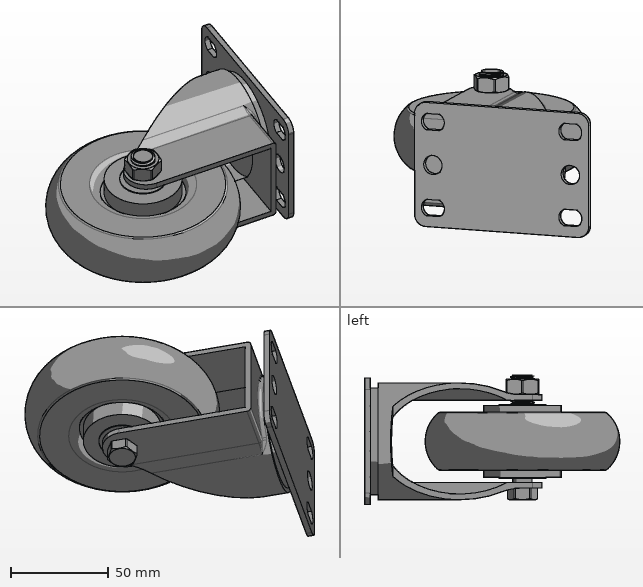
import cadquery as cq
import math


plate_length = 95.0
plate_width = 65.0
plate_thickness = 3.0
plate_corner_radius = 6.0
plate_top = 81.0
plate_bottom = plate_top - plate_thickness
swivel_x = -35.0

hole_spacing_x = 75.0
round_hole_diameter = 10.0
slot_spacing_z = 45.0
slot_length = 12.5
slot_width = 8.6
slot_end_bulge = 2.8

neck_radius = 27.5
neck_height = 4.0

fork_thickness = 3.0
crown_radius = 30.0
crown_top = plate_bottom - neck_height
web_top = crown_top - fork_thickness
arm_outer_z = 24.0
arm_inner_z = arm_outer_z - fork_thickness
arm_flat_start_x = -13.0
arm_end_x = 12.0
fork_round = 2.0
tip_radius = 11.5
tip_center = (arm_end_x - tip_radius, 1.4)
skirt_front_y = 67.7
skirt_corner = (-59.0, 66.5)

wheel_radius = 50.0
wheel_half_width = 15.0
tread_edge_radius = 43.4
face_radius = 42.4
shoulder_drop = 0.5
groove_outer_radius = 27.5
groove_round = 5.5
hub_radius = 20.0
hub_half_width = 18.5
spacer_radius = 12.0
spacer_half_width = 19.0

shank_radius = 5.0
head_across_flats = 13.9
head_height = 6.0
thread_radius = 6.2
thread_pitch = 1.75
thread_clearance = 0.05
thread_end_gap = 0.4
thread_root_overlap = 0.3
thread_root_width = 1.5
thread_crest_width = 0.2
thread_start_angle = 90.0
bolt_end_z = 34.0
threaded_bore_radius = thread_radius + thread_clearance
nut_across_flats = 16.7
nut_height = 8.0
hex_chamfer_angle = 30.0
hex_face_share = 0.97
hex_corner_chamfer = 0.45


def make_mounting_plate():
    plate = (
        cq.Workplane("XZ", origin=(swivel_x, plate_top, 0))
        .rect(plate_length, plate_width)
        .extrude(plate_thickness)
        .edges("|Y")
        .fillet(plate_corner_radius)
    )
    holes = (
        cq.Workplane("XZ", origin=(swivel_x, plate_top, 0))
        .rarray(hole_spacing_x, 1, 2, 1)
        .circle(round_hole_diameter / 2)
        .extrude(plate_thickness)
    )
    plate = plate.cut(holes)
    for side_x in (-1, 1):
        for side_z in (-1, 1):
            plate = plate.cut(make_slot(side_x * hole_spacing_x / 2, side_z * slot_spacing_z / 2))
    neck = (
        cq.Workplane("XZ", origin=(swivel_x, plate_bottom, 0))
        .circle(neck_radius)
        .extrude(neck_height)
    )
    return plate.union(neck)


def make_slot(center_x, center_z):
    """Cutter for a slot with shallow arc ends, placed from the swivel axis."""
    half_length = slot_length / 2
    half_width = slot_width / 2
    half_flat = half_length - slot_end_bulge
    return (
        cq.Workplane("XZ", origin=(swivel_x + center_x, plate_top, center_z))
        .moveTo(-half_flat, -half_width)
        .lineTo(half_flat, -half_width)
        .threePointArc((half_length, 0), (half_flat, half_width))
        .lineTo(-half_flat, half_width)
        .threePointArc((-half_length, 0), (-half_flat, -half_width))
        .close()
        .extrude(plate_thickness)
    )


def make_arm_block():
    """Solid between the outer arm faces, flaring into the crown by a concave bend on each side."""
    flat_offset = arm_flat_start_x - swivel_x
    bend_radius = (flat_offset**2 + arm_outer_z**2 - crown_radius**2) / (2 * (crown_radius - arm_outer_z))
    bend_z = arm_outer_z + bend_radius
    reach = crown_radius / (crown_radius + bend_radius)
    touch_x = swivel_x + flat_offset * reach
    touch_z = bend_z * reach
    middle_angle = (math.atan2(bend_z - touch_z, arm_flat_start_x - touch_x) + math.pi / 2) / 2
    middle_x = arm_flat_start_x - bend_radius * math.cos(middle_angle)
    middle_z = bend_z - bend_radius * math.sin(middle_angle)
    return (
        cq.Workplane("XZ", origin=(0, web_top, 0))
        .moveTo(touch_x, touch_z)
        .threePointArc((middle_x, middle_z), (arm_flat_start_x, arm_outer_z))
        .lineTo(arm_end_x, arm_outer_z)
        .lineTo(arm_end_x, -arm_outer_z)
        .lineTo(arm_flat_start_x, -arm_outer_z)
        .threePointArc((middle_x, -middle_z), (touch_x, -touch_z))
        .close()
        .extrude(web_top + tip_radius)
        .faces(">Y")
        .edges("(not |Z)")
        .fillet(fork_round)
    )


def make_fork_side():
    """Side outline of the fork, extruded across its full width."""
    skirt_front_x = swivel_x - crown_radius
    to_corner_x = skirt_corner[0] - tip_center[0]
    to_corner_y = skirt_corner[1] - tip_center[1]
    corner_distance = math.hypot(to_corner_x, to_corner_y)
    tangent_angle = math.atan2(to_corner_y, to_corner_x) + math.acos(tip_radius / corner_distance)
    middle_angle = (tangent_angle + 2 * math.pi) / 2

    def on_tip(angle):
        return (
            tip_center[0] + tip_radius * math.cos(angle),
            tip_center[1] + tip_radius * math.sin(angle),
        )

    return (
        cq.Workplane("XY")
        .moveTo(skirt_front_x, crown_top)
        .lineTo(skirt_front_x, skirt_front_y)
        .lineTo(*skirt_corner)
        .lineTo(*on_tip(tangent_angle))
        .threePointArc(on_tip(middle_angle), (arm_end_x, tip_center[1]))
        .lineTo(arm_end_x, crown_top)
        .close()
        .extrude(crown_radius, both=True)
    )


def make_fork():
    crown = (
        cq.Workplane("XZ", origin=(swivel_x, crown_top, 0))
        .circle(crown_radius)
        .extrude(crown_top + tip_radius)
    )
    junction = cq.selectors.BoxSelector(
        (arm_flat_start_x, web_top - fork_round / 4, -arm_inner_z),
        (arm_end_x, web_top + fork_round / 4, arm_inner_z),
    )
    body = crown.union(make_arm_block())
    body = body.edges(junction).edges("%CIRCLE").fillet(fork_round)
    crown_recess = (
        cq.Workplane("XZ", origin=(swivel_x, web_top, 0))
        .circle(crown_radius - fork_thickness)
        .extrude(web_top + tip_radius)
    )
    wheel_space = (
        cq.Workplane("XZ", origin=(0, web_top - fork_thickness, 0))
        .moveTo(swivel_x, -arm_inner_z)
        .lineTo(arm_end_x, -arm_inner_z)
        .lineTo(arm_end_x, arm_inner_z)
        .lineTo(swivel_x, arm_inner_z)
        .close()
        .extrude(web_top + tip_radius)
    )
    lower_hole = cq.Workplane("XY").circle(shank_radius).extrude(-arm_outer_z)
    upper_hole = cq.Workplane("XY").circle(threaded_bore_radius).extrude(arm_outer_z)
    body = body.cut(crown_recess).cut(wheel_space).intersect(make_fork_side())
    return body.cut(lower_hole).cut(upper_hole)


def make_wheel():
    shoulder_z = wheel_half_width - shoulder_drop
    floor_z = wheel_half_width - groove_round
    groove_inner_radius = groove_outer_radius - groove_round
    round_offset = groove_round * math.sqrt(0.5)
    round_middle = (groove_outer_radius - round_offset, floor_z + round_offset)
    return (
        cq.Workplane("XZ")
        .moveTo(shank_radius, -spacer_half_width)
        .lineTo(spacer_radius, -spacer_half_width)
        .lineTo(spacer_radius, -hub_half_width)
        .lineTo(hub_radius, -hub_half_width)
        .lineTo(hub_radius, -floor_z)
        .lineTo(groove_inner_radius, -floor_z)
        .threePointArc((round_middle[0], -round_middle[1]), (groove_outer_radius, -wheel_half_width))
        .lineTo(face_radius, -wheel_half_width)
        .lineTo(tread_edge_radius, -shoulder_z)
        .threePointArc((wheel_radius, 0), (tread_edge_radius, shoulder_z))
        .lineTo(face_radius, wheel_half_width)
        .lineTo(groove_outer_radius, wheel_half_width)
        .threePointArc(round_middle, (groove_inner_radius, floor_z))
        .lineTo(hub_radius, floor_z)
        .lineTo(hub_radius, hub_half_width)
        .lineTo(spacer_radius, hub_half_width)
        .lineTo(spacer_radius, spacer_half_width)
        .lineTo(shank_radius, spacer_half_width)
        .close()
        .revolve(360, (0, 0, 0), (0, 1, 0))
    )


def make_hex(across_flats, height):
    """Hexagonal prism along +Z with chamfered edges and its upper corners turned to a cone."""
    corner_radius = across_flats / math.sqrt(3)
    end_radius = hex_face_share * across_flats / 2
    cone_drop = (corner_radius - end_radius) * math.tan(math.radians(hex_chamfer_angle))
    envelope = (
        cq.Workplane("XZ")
        .lineTo(corner_radius, 0)
        .lineTo(corner_radius, height - cone_drop)
        .lineTo(end_radius, height)
        .lineTo(0, height)
        .close()
        .revolve(360, (0, 0, 0), (0, 1, 0))
    )
    prism = (
        cq.Workplane("XY")
        .polygon(6, 2 * corner_radius)
        .extrude(height)
        .edges("|Z")
        .chamfer(hex_corner_chamfer)
    )
    return prism.intersect(envelope)


def make_thread():
    """Helical ridge rooted in the shank, from the wheel spacer to just below the bolt end."""
    helix_start = spacer_half_width - thread_pitch
    helix_height = bolt_end_z - helix_start + thread_pitch
    root_radius = shank_radius - thread_root_overlap
    half_root = thread_root_width / 2
    half_crest = thread_crest_width / 2
    helix = cq.Wire.makeHelix(thread_pitch, helix_height, shank_radius)
    ridge = (
        cq.Workplane("XZ")
        .moveTo(root_radius, -half_root)
        .lineTo(thread_radius, -half_crest)
        .lineTo(thread_radius, half_crest)
        .lineTo(root_radius, half_root)
        .close()
        .sweep(cq.Workplane(obj=helix), isFrenet=True)
        .rotate((0, 0, 0), (0, 0, 1), thread_start_angle)
        .translate((0, 0, helix_start))
    )
    thread_zone = (
        cq.Workplane("XY", origin=(0, 0, spacer_half_width))
        .circle(2 * thread_radius)
        .extrude(bolt_end_z - thread_end_gap - spacer_half_width)
    )
    return ridge.intersect(thread_zone)


def make_bolt():
    shank = (
        cq.Workplane("XY", origin=(0, 0, -arm_outer_z))
        .circle(shank_radius)
        .extrude(arm_outer_z + bolt_end_z)
    )
    head = (
        make_hex(head_across_flats, head_height)
        .rotate((0, 0, 0), (0, 0, 1), 90)
        .mirror("XY")
        .translate((0, 0, -arm_outer_z))
    )
    return shank.union(make_thread()).union(head)


def make_nut():
    bore = (
        cq.Workplane("XY", origin=(0, 0, arm_outer_z))
        .circle(threaded_bore_radius)
        .extrude(nut_height)
    )
    upper_coned = make_hex(nut_across_flats, nut_height)
    lower_coned = upper_coned.mirror("XY").translate((0, 0, nut_height))
    return upper_coned.intersect(lower_coned).translate((0, 0, arm_outer_z)).cut(bore)


mounting_plate = make_mounting_plate()
fork = make_fork()
wheel = make_wheel()
bolt = make_bolt()
nut = make_nut()

result = cq.Compound.makeCompound(
    [mounting_plate.val(), fork.val(), wheel.val(), bolt.val(), nut.val()]
)